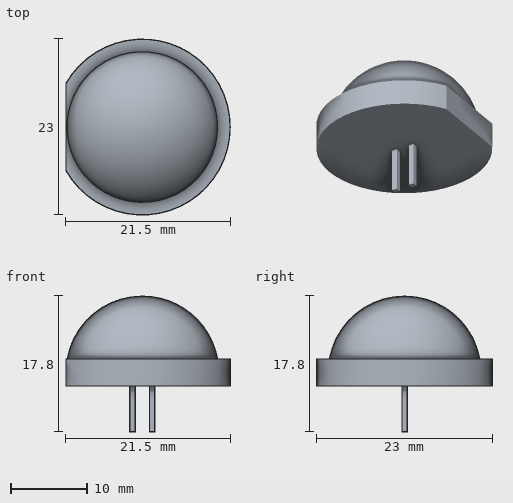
import cadquery as cq

base_diameter = 22.98
base_height = 3.55
flat_distance = 9.97

lens_radius = 10.0
lens_top = 11.75
sphere_center_z = lens_top - lens_radius

lead_width = 0.74
lead_length = 6.0
lead_pitch = 2.55


def make_base():
    """Flange with its flat and the two leads it carries, as one solid."""
    base_radius = base_diameter / 2
    flange = cq.Workplane("XY").circle(base_radius).extrude(base_height)
    kept_side = cq.Workplane("XY").box(
        flat_distance + base_radius, base_diameter, base_height, centered=(False, True, False)
    ).translate((-flat_distance, 0, 0))
    leads = (
        cq.Workplane("XY")
        .pushPoints([(-lead_pitch / 2, 0), (lead_pitch / 2, 0)])
        .rect(lead_width, lead_width)
        .extrude(-lead_length)
    )
    return flange.intersect(kept_side).union(leads).solids()


def make_lens():
    """Part of the sphere that lies above the top face of the base."""
    sphere = cq.Workplane("XY").sphere(lens_radius).translate((0, 0, sphere_center_z))
    above_base = (
        cq.Workplane("XY")
        .workplane(offset=base_height)
        .circle(lens_radius)
        .extrude(lens_top - base_height)
    )
    return sphere.intersect(above_base).solids()


base = make_base()
lens = make_lens()
result = cq.Compound.makeCompound([base.val(), lens.val()])